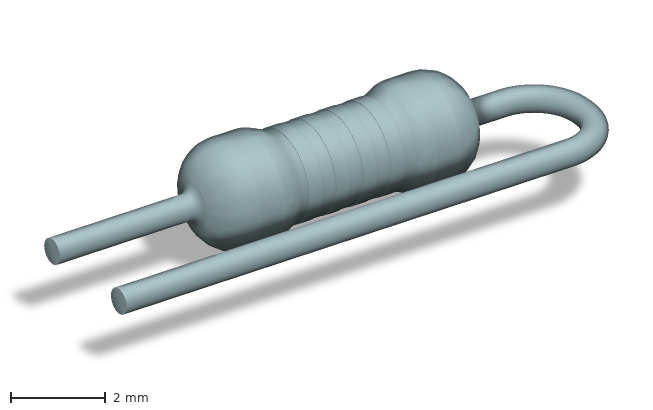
import cadquery as cq
import math

wire_radius = 0.3
lead_pitch = 2.54
bend_radius = 1.2

body_center_y = 7.0
cap_radius = 1.25
cap_inner_y = 1.925
cap_outer_y = 2.525
dome_radius = 0.9
neck_fillet_radius = 0.23

band_radius = 2.15 / 2
waist_radius = 2.12 / 2
band_count = 4
stripe_width = 0.345
waist_half_length = (2 * band_count - 1) * stripe_width / 2

bend_start_y = 11.4


def make_end():
    """One rounded body end, from the edge of the waist over cap and dome to the wire."""
    shoulder_mid_y = (waist_half_length + cap_inner_y) / 2
    shoulder_mid_radius = (waist_radius + cap_radius) / 2
    shoulder_angle = 2 * math.atan2(cap_radius - waist_radius, cap_inner_y - waist_half_length)
    shoulder_arc_radius = (shoulder_mid_y - waist_half_length) / math.sin(shoulder_angle)
    shoulder_quarter_point = (
        waist_radius + shoulder_arc_radius * (1 - math.cos(shoulder_angle / 2)),
        waist_half_length + shoulder_arc_radius * math.sin(shoulder_angle / 2),
    )

    dome_center_radius = cap_radius - dome_radius
    fillet_center_radius = wire_radius + neck_fillet_radius
    center_distance = dome_radius + neck_fillet_radius
    contact_angle = math.acos((fillet_center_radius - dome_center_radius) / center_distance)
    fillet_center_y = cap_outer_y + center_distance * math.sin(contact_angle)
    contact_radius = dome_center_radius + dome_radius * math.cos(contact_angle)
    contact_y = cap_outer_y + dome_radius * math.sin(contact_angle)
    dome_mid_radius = dome_center_radius + dome_radius * math.cos(contact_angle / 2)
    dome_mid_y = cap_outer_y + dome_radius * math.sin(contact_angle / 2)

    return (
        cq.Workplane("XY")
        .moveTo(0, waist_half_length)
        .lineTo(waist_radius, waist_half_length)
        .threePointArc(shoulder_quarter_point, (shoulder_mid_radius, shoulder_mid_y))
        .tangentArcPoint((cap_radius, cap_inner_y), relative=False)
        .lineTo(cap_radius, cap_outer_y)
        .threePointArc((dome_mid_radius, dome_mid_y), (contact_radius, contact_y))
        .tangentArcPoint((wire_radius, fillet_center_y), relative=False)
        .lineTo(0, fillet_center_y)
        .close()
        .revolve(360, (0, 0, 0), (0, 1, 0))
    )


def make_body():
    """Body with rounded ends, a narrower waist and raised bands around it."""
    waist = cq.Workplane("XZ").circle(waist_radius).extrude(waist_half_length, both=True)
    end = make_end()
    body = waist.union(end).union(end.mirror("XZ"))

    for index in range(band_count):
        band_start_y = 2 * index * stripe_width - waist_half_length
        band = (
            cq.Workplane("XZ", origin=(0, band_start_y, 0))
            .circle(band_radius)
            .extrude(-stripe_width)
        )
        body = body.union(band)
    return body.translate((0, body_center_y, 0))


def make_wire():
    """Wire through the body, bent back so that both leads end in the plane Y = 0."""
    bend_top_y = bend_start_y + bend_radius
    bend_mid_offset = bend_radius * (1 - math.sqrt(0.5))
    path = (
        cq.Workplane("XY")
        .lineTo(0, bend_start_y)
        .threePointArc((bend_mid_offset, bend_top_y - bend_mid_offset), (bend_radius, bend_top_y))
        .lineTo(lead_pitch - bend_radius, bend_top_y)
        .threePointArc(
            (lead_pitch - bend_mid_offset, bend_top_y - bend_mid_offset),
            (lead_pitch, bend_start_y),
        )
        .lineTo(lead_pitch, 0)
    )
    return cq.Workplane("XZ").circle(wire_radius).sweep(path)


result = make_body().union(make_wire())